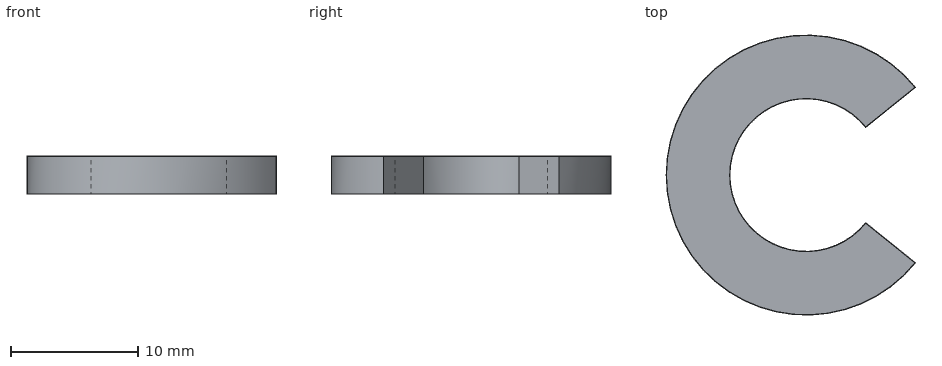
import cadquery as cq
import math

outer_diameter = 22.0
inner_diameter = 12.0
thickness = 3.0
half_opening_angle = 38.8

outer_radius = outer_diameter / 2
inner_radius = inner_diameter / 2


def polar_point(radius, angle):
    """Point at a radius and an angle in degrees from +X."""
    return (
        radius * math.cos(math.radians(angle)),
        radius * math.sin(math.radians(angle)),
    )


result = (
    cq.Workplane("XY")
    .moveTo(*polar_point(outer_radius, half_opening_angle))
    .threePointArc((-outer_radius, 0), polar_point(outer_radius, -half_opening_angle))
    .lineTo(*polar_point(inner_radius, -half_opening_angle))
    .threePointArc((-inner_radius, 0), polar_point(inner_radius, half_opening_angle))
    .close()
    .extrude(thickness)
)